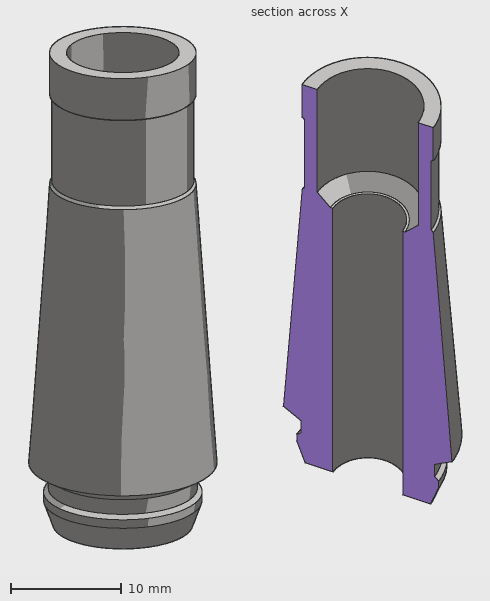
import cadquery as cq

total_height = 45.7
plug_taper_top = 2.35
plug_band_top = 3.15
groove_bottom = 3.5
groove_top = 4.95
body_bottom = 6.0
body_top = 33.0
neck_bottom = 33.25
collar_height = 4.15
collar_chamfer = 0.15

plug_tip_diameter = 12.7
plug_band_diameter = 14.4
groove_diameter = 13.55
body_diameter = 17.1
collar_diameter = 13.3
neck_diameter = 12.9

socket_diameter = 10.2
seat_diameter = 7.55
through_diameter = 7.05

collar_bottom = total_height - collar_height

socket_bottom = neck_bottom
seat_height = socket_bottom - (socket_diameter - seat_diameter) / 2


def revolve_profile(points):
    """Revolve a closed outline of (radius, height) points about the Z axis."""
    outline = cq.Workplane("YZ").polyline(points).close()
    return outline.revolve(360, (0, 0), (0, 1))


def make_outer_body():
    """Plug, groove, conical body, neck and collar, from bottom to top."""
    return revolve_profile(
        [
            (0, 0),
            (plug_tip_diameter / 2, 0),
            (plug_band_diameter / 2, plug_taper_top),
            (plug_band_diameter / 2, plug_band_top),
            (groove_diameter / 2, groove_bottom),
            (groove_diameter / 2, groove_top),
            (body_diameter / 2, body_bottom),
            (collar_diameter / 2, body_top),
            (neck_diameter / 2, neck_bottom),
            (neck_diameter / 2, collar_bottom),
            (collar_diameter / 2, collar_bottom + collar_chamfer),
            (collar_diameter / 2, total_height),
            (0, total_height),
        ]
    )


def make_bore():
    """Through hole, narrow flat seat, cone and wide socket, from bottom to top."""
    return revolve_profile(
        [
            (0, 0),
            (through_diameter / 2, 0),
            (through_diameter / 2, seat_height),
            (seat_diameter / 2, seat_height),
            (socket_diameter / 2, socket_bottom),
            (socket_diameter / 2, total_height),
            (0, total_height),
        ]
    )


result = make_outer_body().cut(make_bore())